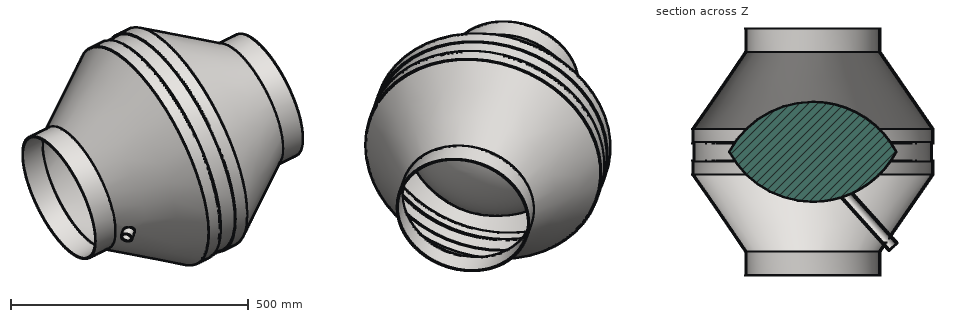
import cadquery as cq
import math

LENGTH = 520
SPIGOT_LENGTH = 50.0
FLANGE_LENGTH = 30.0
GAP_LENGTH = 36.0

SPIGOT_OUTER_R = 285.0 / 2
SPIGOT_INNER_R = 280.0 / 2
FLANGE_OUTER_R = 508.0 / 2
RING_OUTER_R = 503.0 / 2
RING_INNER_R = 498.0 / 2
RING_OVERLAP = 2.5

MOTOR_CAP_R = 200.0
MOTOR_HALF_LENGTH = 105.5

TUBE_OUTER_R = 25.0 / 2
TUBE_INNER_R = 20.0 / 2
TUBE_TIP_X = 169.5
TUBE_TIP_Y = -200.0
TUBE_ANGLE = 48
TUBE_LENGTH = 156

END_Y = LENGTH / 2
CONE_SMALL_Y = END_Y - SPIGOT_LENGTH
FLANGE_INNER_Y = GAP_LENGTH / 2
CONE_LARGE_Y = FLANGE_INNER_Y + FLANGE_LENGTH
RING_END_Y = FLANGE_INNER_Y + RING_OVERLAP


def turn(profile):
    """Revolve a profile drawn as (radius, y) about the Y axis."""
    return profile.close().revolve(360, (0, 0, 0), (0, 1, 0))


def half_shell(side):
    """Spigot, cone and flange on one side of the middle plane."""
    points = [
        (SPIGOT_INNER_R, END_Y),
        (SPIGOT_OUTER_R, END_Y),
        (SPIGOT_OUTER_R, CONE_SMALL_Y),
        (FLANGE_OUTER_R, CONE_LARGE_Y),
        (FLANGE_OUTER_R, FLANGE_INNER_Y),
        (RING_OUTER_R, FLANGE_INNER_Y),
        (RING_OUTER_R, CONE_LARGE_Y),
        (SPIGOT_INNER_R, CONE_SMALL_Y),
    ]
    return turn(cq.Workplane("XY").polyline([(r, side * y) for r, y in points]))


def middle_ring():
    ring = cq.Workplane("XZ", origin=(0, RING_END_Y, 0)).circle(RING_OUTER_R).circle(RING_INNER_R)
    return ring.extrude(2 * RING_END_Y)


def motor_body():
    cap_center_y = MOTOR_CAP_R - MOTOR_HALF_LENGTH
    rim_radius = math.sqrt(MOTOR_CAP_R**2 - cap_center_y**2)
    half_chord = math.atan2(rim_radius, cap_center_y) / 2
    arc_mid_x = MOTOR_CAP_R * math.sin(half_chord)
    arc_mid_y = MOTOR_CAP_R * math.cos(half_chord) - cap_center_y
    profile = (
        cq.Workplane("XY")
        .moveTo(0, -MOTOR_HALF_LENGTH)
        .threePointArc((arc_mid_x, -arc_mid_y), (rim_radius, 0))
        .threePointArc((arc_mid_x, arc_mid_y), (0, MOTOR_HALF_LENGTH))
    )
    return turn(profile)


def tube_bar(radius):
    """Round bar along the tube, from its outer tip inward."""
    angle = math.radians(TUBE_ANGLE)
    inward = (-math.cos(angle), math.sin(angle), 0)
    tip = cq.Plane(origin=(TUBE_TIP_X, TUBE_TIP_Y, 0), xDir=(0, 0, 1), normal=inward)
    return cq.Workplane(tip).circle(radius).extrude(TUBE_LENGTH)


housing = half_shell(-1).union(half_shell(1)).union(middle_ring())
tubed_housing = housing.union(tube_bar(TUBE_OUTER_R)).cut(tube_bar(TUBE_INNER_R))
result = tubed_housing.union(motor_body())